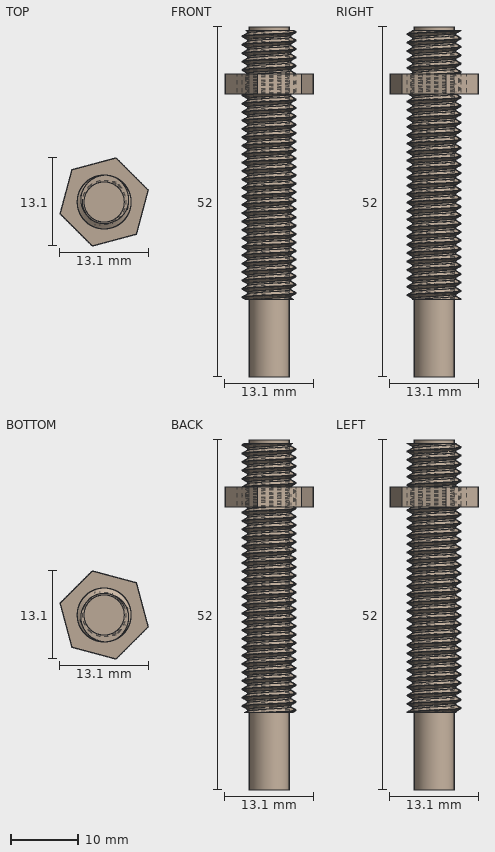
import cadquery as cq
import math

total_length = 52.0
core_diameter = 6.0

sleeve_bottom = 11.5
core_protrusion = 0.5
sleeve_top = total_length - core_protrusion
sleeve_length = sleeve_top - sleeve_bottom

sleeve_turns = 32
thread_pitch = sleeve_length / sleeve_turns
crest_diameter = 8.0
root_diameter = 6.45
flank_angle = 30.0
crest_width = thread_pitch / 16
top_crest_offset = 0.25
thread_embed = 0.05
spare_turns = 2

nut_bottom = 42.0
nut_height = 3.0
nut_corner_diameter = 13.55
nut_turn = 15.0


def make_core():
    return cq.Workplane("XY").circle(core_diameter / 2).extrude(total_length)


def make_thread_ridge():
    """Helical ridge with a trapezoid section, longer than the sleeve at both ends."""
    outer_radius = crest_diameter / 2
    inner_radius = root_diameter / 2 - thread_embed
    half_crest = crest_width / 2
    half_base = half_crest + (outer_radius - inner_radius) * math.tan(math.radians(flank_angle))

    turns = sleeve_turns + 2 * spare_turns
    ridge_length = turns * thread_pitch
    start_z = sleeve_top - top_crest_offset + spare_turns * thread_pitch - ridge_length

    def helix(radius, z_offset):
        wire = cq.Wire.makeHelix(thread_pitch, ridge_length, radius)
        return wire.translate(cq.Vector(0, 0, start_z + z_offset))

    edges = [
        helix(inner_radius, -half_base),
        helix(outer_radius, -half_crest),
        helix(outer_radius, half_crest),
        helix(inner_radius, half_base),
    ]
    sides = [cq.Face.makeRuledSurface(edges[i - 1], edges[i]) for i in range(len(edges))]

    section = [
        cq.Vector(inner_radius, 0, start_z - half_base),
        cq.Vector(outer_radius, 0, start_z - half_crest),
        cq.Vector(outer_radius, 0, start_z + half_crest),
        cq.Vector(inner_radius, 0, start_z + half_base),
    ]
    first_end = cq.Face.makeFromWires(cq.Wire.makePolygon(section, close=True))
    last_end = first_end.translate(cq.Vector(0, 0, ridge_length))
    shell = cq.Shell.makeShell(sides + [first_end, last_end])
    return cq.Workplane(obj=cq.Solid.makeSolid(shell))


def make_sleeve():
    base = cq.Workplane("XY").workplane(offset=sleeve_bottom)
    tube = base.circle(root_diameter / 2).circle(core_diameter / 2).extrude(sleeve_length)
    trim = base.circle(crest_diameter).extrude(sleeve_length)
    return tube.union(make_thread_ridge().intersect(trim))


def make_nut():
    """Hexagon whose plain bore rests on the thread crests."""
    return (
        cq.Workplane("XY")
        .workplane(offset=nut_bottom)
        .transformed(rotate=(0, 0, nut_turn))
        .polygon(6, nut_corner_diameter)
        .circle(crest_diameter / 2)
        .extrude(nut_height)
    )


core = make_core()
sleeve = make_sleeve()
nut = make_nut()

result = cq.Compound.makeCompound([core.val(), *sleeve.solids().vals(), nut.val()])